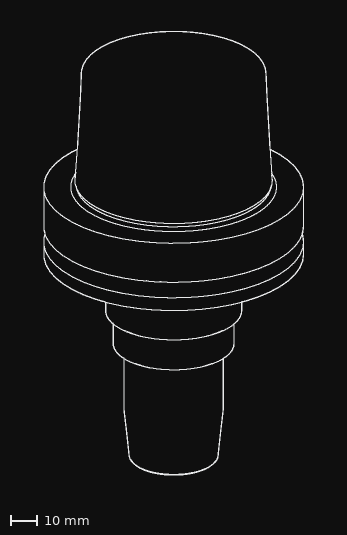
import cadquery as cq

total_height = 164.9
flange_top = 115.0
flange_bottom = 86.2

taper_base_radius = 38.0
taper_top_radius = 35.5
taper_base_height = 117.5
top_round = 1.8
relief_radius = 37.5
relief_flare_height = 116.0
relief_flare_radius = 39.5

flange_radius = 50.0
groove_radius = 46.0
groove_upper_edge = 98.3
groove_floor_top = 96.8
groove_floor_bottom = 93.7
groove_lower_edge = 91.7

body_radius = 26.2
body_end = 62.3
body_shoulder = 60.7
collar_radius = 23.3
collar_end = 48.2
collar_shoulder = 45.8
nose_radius = 19.1

corner_round = 1.3

tip_radius = 17.1
tip_taper_height = 20.3
tip_chamfer = 0.7


def turned_profile():
    """Half section of the turned part, from the tip up to the top face."""
    return (
        cq.Workplane("XZ")
        .lineTo(tip_radius - tip_chamfer, 0)
        .lineTo(tip_radius, tip_chamfer)
        .lineTo(nose_radius, tip_taper_height)
        .lineTo(nose_radius, collar_shoulder)
        .lineTo(collar_radius, collar_end)
        .lineTo(collar_radius, body_shoulder)
        .lineTo(body_radius, body_end)
        .lineTo(body_radius, flange_bottom)
        .lineTo(flange_radius, flange_bottom)
        .lineTo(flange_radius, groove_lower_edge)
        .lineTo(groove_radius, groove_floor_bottom)
        .lineTo(groove_radius, groove_floor_top)
        .lineTo(flange_radius, groove_upper_edge)
        .lineTo(flange_radius, flange_top)
        .lineTo(relief_flare_radius, flange_top)
        .lineTo(relief_radius, relief_flare_height)
        .lineTo(taper_base_radius, taper_base_height)
        .lineTo(taper_top_radius, total_height)
        .lineTo(0, total_height)
        .close()
    )


def circles_at(radius, height):
    """Selector for the circular edges at one radius and height."""
    tolerance = 0.02
    reach = radius + tolerance
    return cq.selectors.BoxSelector(
        (-reach, -reach, height - tolerance),
        (reach, reach, height + tolerance),
        boundingbox=True,
    )


result = turned_profile().revolve(360, (0, 0, 0), (0, 1, 0))
result = result.faces(">Z").edges().fillet(top_round)
for radius, height in (
    (groove_radius, groove_floor_top),
    (groove_radius, groove_floor_bottom),
    (collar_radius, body_shoulder),
    (nose_radius, collar_shoulder),
):
    result = result.edges(circles_at(radius, height)).fillet(corner_round)